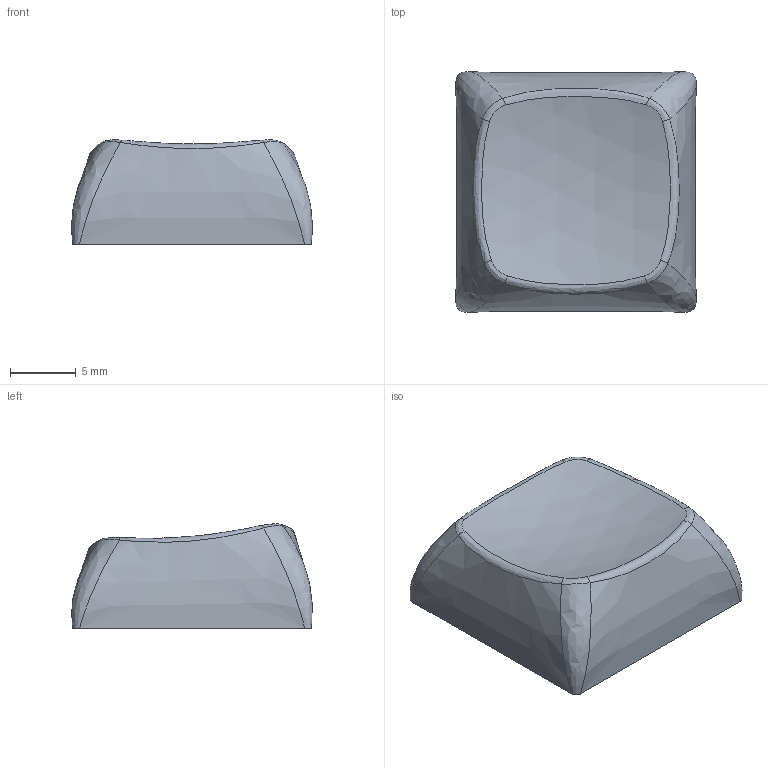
import cadquery as cq
import math

BASE_SIDE = 18.1
BASE_CORNER_RADIUS = 0.5

MID_SIDE = 16.95
MID_CORNER_RADIUS = 1.6
MID_LEVEL = 1 / 2

TOP_SIDE = 13.5
TOP_BOW = 1.85
TOP_CORNER_RADIUS = 4.75
TOP_HEIGHT = 9.1
TOP_TILT = -5.0

DISH_RADIUS = 27.0
DISH_FLOOR = 5.99
RIM_RADIUS = 0.55


def rounded_square(side, corner_radius):
    """Base or middle section."""
    return cq.Sketch().rect(side, side).vertices().fillet(corner_radius)


def bowed_square():
    """Top section: four bulging arcs with rounded corners."""
    crest = TOP_SIDE / 2
    corner = crest - TOP_BOW
    return (
        cq.Sketch()
        .arc((-corner, -corner), (-crest, 0), (-corner, corner))
        .arc((-corner, corner), (0, crest), (corner, corner))
        .arc((corner, corner), (crest, 0), (corner, -corner))
        .arc((corner, -corner), (0, -crest), (-corner, -corner))
        .assemble()
        .vertices()
        .fillet(TOP_CORNER_RADIUS)
    )


def raised(sketch, level):
    """Lift and tilt a section to a fraction of the full height."""
    lift = cq.Vector(0, 0, level * TOP_HEIGHT)
    x_axis = cq.Vector(1, 0, 0)
    return sketch.moved(cq.Location(lift, x_axis, level * TOP_TILT))


def body():
    """Key cap before the dish is cut, with sides that curve inwards as they rise."""
    return (
        cq.Workplane("XY")
        .placeSketch(
            rounded_square(BASE_SIDE, BASE_CORNER_RADIUS),
            raised(rounded_square(MID_SIDE, MID_CORNER_RADIUS), MID_LEVEL),
            raised(bowed_square(), 1),
        )
        .loft()
    )


def dish():
    """Shallow ball-shaped scoop, its axis tilted with the top section."""
    ball = cq.Workplane("XY").sphere(DISH_RADIUS).rotate((0, 0, 0), (0, 1, 0), -90)
    axis_angle = math.radians(TOP_TILT)
    return ball.translate(
        (0, -DISH_RADIUS * math.sin(axis_angle), DISH_FLOOR + DISH_RADIUS * math.cos(axis_angle))
    )


def soften_rim(part):
    """Round the edge where the dish meets the sides."""
    dish_face = cq.selectors.NearestToPointSelector((0, 0, DISH_FLOOR))
    return part.faces(dish_face).edges().fillet(RIM_RADIUS)


result = soften_rim(body().cut(dish()))